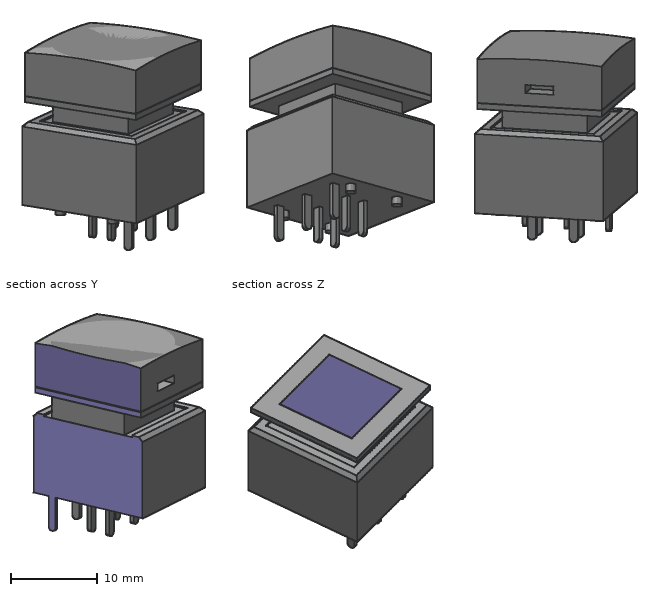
import cadquery as cq
import math

TOTAL_HEIGHT = 22.9
TERMINAL_LENGTH = 4.21
HOUSING_HEIGHT = 9.96
PLATE_GAP = 2.4
PLATE_THICKNESS = 0.7
CAP_GAP = 0.05

HOUSING_WIDTH = 15.4
HOUSING_CHAMFER = 0.5
RECESS_WIDTH = 12.41
RECESS_DEPTH = 0.2

PLUNGER_WIDTH = 10.17
CAP_WIDTH = 14.93
DOME_RADIUS = 80.15
DISH_DIAMETER = 14.43
DISH_DEPTH = 0.35
SLOT_WIDTH = 3.35
SLOT_HEIGHT = 0.98
SLOT_DEPTH = 2.3
SLOT_RISE = 2.0

TERMINAL_WIDTH = 1.0
TERMINAL_THICKNESS = 0.5
SWITCH_TERMINAL_X = 5.08
SWITCH_TERMINAL_PITCH = 5.0
LAMP_TERMINAL_SPACING_X = 2.55
LAMP_TERMINAL_SPACING_Y = 5.0
POST_DIAMETER = 1.2
POST_LENGTH = 0.9
POST_SPACING_X = 7.0
POST_SPACING_Y = 12.02

HOUSING_BOTTOM = TERMINAL_LENGTH
HOUSING_TOP = HOUSING_BOTTOM + HOUSING_HEIGHT
RECESS_FLOOR = HOUSING_TOP - RECESS_DEPTH
PLATE_BOTTOM = HOUSING_TOP + PLATE_GAP
PLATE_TOP = PLATE_BOTTOM + PLATE_THICKNESS
CAP_BOTTOM = PLATE_TOP + CAP_GAP


def square_block(width, bottom, top):
    """Square block centred on the Z axis."""
    return cq.Workplane("XY").workplane(offset=bottom).rect(width, width).extrude(top - bottom)


def corner_positions(spacing_x, spacing_y):
    """Four corners of a rectangle centred on the Z axis."""
    return [(x * spacing_x / 2, y * spacing_y / 2) for x in (-1, 1) for y in (-1, 1)]


def terminal(x, y, turn):
    """Flat terminal with a half-round tip, broad along X before turning about Z."""
    half_width = TERMINAL_WIDTH / 2
    blade = (
        cq.Workplane("XZ")
        .moveTo(-half_width, HOUSING_BOTTOM)
        .lineTo(-half_width, half_width)
        .threePointArc((0, 0), (half_width, half_width))
        .lineTo(half_width, HOUSING_BOTTOM)
        .close()
        .extrude(TERMINAL_THICKNESS / 2, both=True)
    )
    return blade.rotate((0, 0, 0), (0, 0, 1), turn).translate((x, y, 0))


def make_switch_body():
    """Housing with its terminals and posts, and the plunger with the plate that carries the cap."""
    shell = square_block(HOUSING_WIDTH, HOUSING_BOTTOM, HOUSING_TOP).faces(">Z").chamfer(HOUSING_CHAMFER)
    body = shell.cut(square_block(RECESS_WIDTH, RECESS_FLOOR, HOUSING_TOP))

    body = body.union(square_block(PLUNGER_WIDTH, RECESS_FLOOR, CAP_BOTTOM))
    body = body.union(square_block(CAP_WIDTH, PLATE_BOTTOM, PLATE_TOP))

    posts = (
        cq.Workplane("XY")
        .workplane(offset=HOUSING_BOTTOM)
        .pushPoints(corner_positions(POST_SPACING_X, POST_SPACING_Y))
        .circle(POST_DIAMETER / 2)
        .extrude(-POST_LENGTH)
    )
    body = body.union(posts)

    for row in (-1, 0, 1):
        body = body.union(terminal(SWITCH_TERMINAL_X, row * SWITCH_TERMINAL_PITCH, 0))
    for x, y in corner_positions(LAMP_TERMINAL_SPACING_X, LAMP_TERMINAL_SPACING_Y):
        body = body.union(terminal(x, y, 90))
    return body


def make_cap():
    """Square cap with a domed top, a shallow round dish in the dome and a slot in the -X side."""
    dish_radius = DISH_DIAMETER / 2
    dome_centre = TOTAL_HEIGHT - math.sqrt(DOME_RADIUS**2 - dish_radius**2)
    dome = cq.Workplane("XY").sphere(DOME_RADIUS).translate((0, 0, dome_centre))
    cap = square_block(CAP_WIDTH, CAP_BOTTOM, dome_centre + DOME_RADIUS).intersect(dome)

    dish_sphere_radius = (dish_radius**2 + DISH_DEPTH**2) / (2 * DISH_DEPTH)
    dish_centre = TOTAL_HEIGHT - DISH_DEPTH + dish_sphere_radius
    cap = cap.cut(cq.Workplane("XY").sphere(dish_sphere_radius).translate((0, 0, dish_centre)))

    slot = cq.Workplane("XY").box(SLOT_DEPTH, SLOT_WIDTH, SLOT_HEIGHT).translate(
        ((SLOT_DEPTH - CAP_WIDTH) / 2, 0, CAP_BOTTOM + SLOT_RISE)
    )
    return cap.cut(slot)


switch_body = make_switch_body()
cap = make_cap()

result = cq.Compound.makeCompound([switch_body.val(), cap.val()])